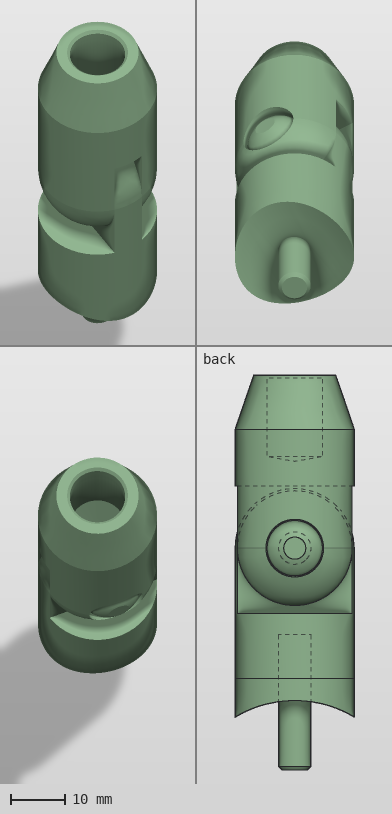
import cadquery as cq
import math

body_radius = 11.0
total_height = 72.95
pivot_height = 41.0

nose_length = 10.0
nose_radius = 7.6
bore_radius = 5.1
bore_chamfer = 0.5
bore_depth = 15.0
drill_tip_angle = 160.0
slot_clearance = 0.45

tongue_width = 6.0
block_height = 12.05
shoulder_height = pivot_height - block_height
joint_height = shoulder_height - block_height

saddle_apex_height = 12.85
tube_radius = 21.2

stud_radius = 3.0
stud_length = 25.0
stud_chamfer = 0.65

screw_radius = stud_radius
screw_length = 16.0
head_radius = 5.1
head_flat_radius = 2.05
head_rim_height = 0.9
dome_radius = 5.1
head_height = 3.3
head_top = 10.9
head_recess_radius = 5.3
head_seat = head_top - head_height

across = 4 * body_radius


def z_cylinder(radius, bottom, top):
    return cq.Workplane("XY").workplane(offset=bottom).circle(radius).extrude(top - bottom)


def y_cylinder(radius, start, end):
    """Cylinder on the hinge axis between two Y positions."""
    plane = cq.Plane(origin=(0, start, pivot_height), xDir=(1, 0, 0), normal=(0, 1, 0))
    return cq.Workplane(plane).circle(radius).extrude(end - start)


def pivot_ball():
    return cq.Workplane("XY").sphere(body_radius).translate((0, 0, pivot_height))


def screw_hole():
    """Clearance for the whole hinge screw: shank hole plus head recess."""
    shank = y_cylinder(screw_radius, head_seat - screw_length, head_seat)
    return shank.union(y_cylinder(head_recess_radius, head_seat, across))


def socket_bore():
    """Blind drilled bore with a chamfered mouth and a conical bottom."""
    floor = total_height - bore_depth
    tip = floor - bore_radius / math.tan(math.radians(drill_tip_angle / 2))
    return (
        cq.Workplane("XZ")
        .moveTo(0, total_height)
        .lineTo(bore_radius + bore_chamfer, total_height)
        .lineTo(bore_radius, total_height - bore_chamfer)
        .lineTo(bore_radius, floor)
        .lineTo(0, tip)
        .close()
        .revolve(360, (0, 0), (0, 1))
    )


def make_socket():
    """Upper half: tapered nose, round barrel and hemispherical end, slotted for the tongue."""
    barrel = z_cylinder(body_radius, pivot_height, total_height - nose_length)
    nose = (
        cq.Workplane("XY")
        .workplane(offset=total_height - nose_length)
        .circle(body_radius)
        .workplane(offset=nose_length)
        .circle(nose_radius)
        .loft()
    )
    slot_top = pivot_height + body_radius + slot_clearance
    slot = cq.Workplane("XY").box(across, tongue_width, slot_top, centered=(True, True, False))
    solid = barrel.union(pivot_ball()).union(nose)
    return solid.cut(socket_bore()).cut(slot).cut(screw_hole())


def make_base():
    """Lower half: round block with an upright tongue whose end is spherical."""
    block = z_cylinder(body_radius, joint_height, shoulder_height)
    round_post = z_cylinder(body_radius, joint_height, pivot_height).union(pivot_ball())
    slab = cq.Workplane("XY").box(across, tongue_width, total_height, centered=(True, True, False))
    above_joint = z_cylinder(across, joint_height, total_height)
    tongue = round_post.intersect(slab).intersect(above_joint)
    stud_hole = z_cylinder(stud_radius, 0, stud_length)
    return block.union(tongue).cut(stud_hole).cut(screw_hole())


def make_saddle():
    """Foot below the base, hollowed by the tube it rests on."""
    tube = (
        cq.Workplane("XZ")
        .center(0, saddle_apex_height - tube_radius)
        .circle(tube_radius)
        .extrude(across, both=True)
    )
    foot = z_cylinder(body_radius, 0, joint_height).cut(tube)
    return foot.cut(z_cylinder(stud_radius, 0, stud_length))


def make_stud():
    """Straight stud through the saddle into the base."""
    return z_cylinder(stud_radius, 0, stud_length).faces("<Z").chamfer(stud_chamfer)


def make_screw():
    """Button-head hinge screw: domed head with a flat crown, plain shank."""
    head = (
        cq.Workplane("XY")
        .moveTo(0, head_seat)
        .lineTo(head_radius, head_seat)
        .lineTo(head_radius, head_seat + head_rim_height)
        .radiusArc((head_flat_radius, head_top), -dome_radius)
        .lineTo(0, head_top)
        .close()
        .revolve(360, (0, 0), (0, 1))
        .translate((0, 0, pivot_height))
    )
    return head.union(y_cylinder(screw_radius, head_seat - screw_length, head_seat))


socket = make_socket()
base = make_base()
saddle = make_saddle()
stud = make_stud()
screw = make_screw()

result = cq.Compound.makeCompound([socket.val(), base.val(), saddle.val(), stud.val(), screw.val()])